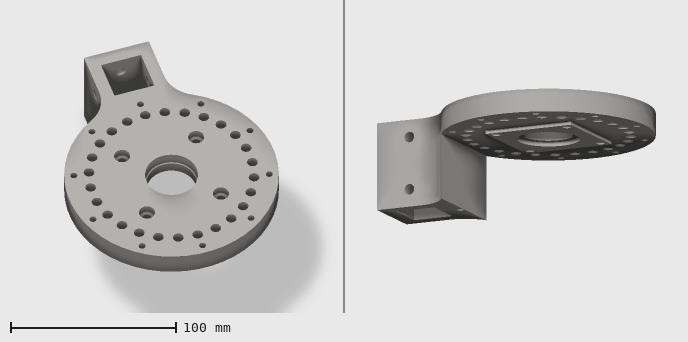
import cadquery as cq
import math

overall_length = 170
disc_diameter = 130.0
disc_thickness = 14.1
total_height = 54.0

socket_width = 41.5
socket_opening = 25.5
socket_wall = 8.8
flare_radius = 22.1
socket_hole_diameter = 6.5
socket_hole_pitch = 32.5

pad_side = 57.1
pad_height = 2.0
pilot_diameter = 38.2
pilot_depth = 2.5
shaft_hole_diameter = 30.0
shaft_bore_diameter = 32.0
shaft_bore_depth = 7.0
screw_spacing = 47.3
screw_diameter = 5.3
screw_head_diameter = 9.7
screw_head_depth = 5.0

inner_ring_count = 26
inner_ring_radius = 50.0
inner_ring_hole = 6.5
outer_ring_count = 10
outer_ring_radius = 59.2
outer_ring_hole = 4.2

disc_radius = disc_diameter / 2
socket_end = disc_radius - overall_length
opening_center = socket_end + socket_wall + socket_opening / 2
pad_bottom = -disc_thickness - pad_height


def cylinder_down(diameter, depth, points=((0, 0),)):
    """Vertical cylinders reaching down from the top face."""
    return cq.Workplane("XY").pushPoints(points).circle(diameter / 2).extrude(-depth)


def ring_points(count, radius):
    angles = [2 * math.pi * i / count for i in range(count)]
    return [(radius * math.cos(a), radius * math.sin(a)) for a in angles]


def make_bracket():
    """Socket block whose sides flare, tangent to both the block and the disc."""
    half_width = socket_width / 2
    flare_y = half_width + flare_radius
    center_distance = disc_radius + flare_radius
    flare_x = -math.sqrt(center_distance**2 - flare_y**2)
    touch_x = flare_x * disc_radius / center_distance
    touch_y = flare_y * disc_radius / center_distance
    half_sweep = math.atan2(touch_x - flare_x, flare_y - touch_y) / 2
    middle_x = flare_x + flare_radius * math.sin(half_sweep)
    middle_y = flare_y - flare_radius * math.cos(half_sweep)
    return (
        cq.Workplane("XY")
        .moveTo(socket_end, -half_width)
        .lineTo(flare_x, -half_width)
        .threePointArc((middle_x, -middle_y), (touch_x, -touch_y))
        .lineTo(touch_x, touch_y)
        .threePointArc((middle_x, middle_y), (flare_x, half_width))
        .lineTo(socket_end, half_width)
        .close()
        .extrude(-total_height)
    )


def make_socket_cuts():
    """Square through opening, cross holes along Y and holes in the end wall."""
    cuts = (
        cq.Workplane("XY")
        .center(opening_center, 0)
        .rect(socket_opening, socket_opening)
        .extrude(-total_height)
    )
    hole_radius = socket_hole_diameter / 2
    for side in (-1, 1):
        z = -total_height / 2 + side * socket_hole_pitch / 2
        cross_hole = (
            cq.Workplane("XZ")
            .center(opening_center, z)
            .circle(hole_radius)
            .extrude(socket_width / 2, both=True)
        )
        end_hole = (
            cq.Workplane("YZ", origin=(socket_end, 0, z))
            .circle(hole_radius)
            .extrude(opening_center - socket_end)
        )
        cuts = cuts.union(cross_hole).union(end_hole)
    return cuts


def cut_motor_mount(body):
    """Stepped shaft hole, pilot recess and four counterbored screw holes."""
    half_spacing = screw_spacing / 2
    screws = [(x, y) for x in (-half_spacing, half_spacing) for y in (-half_spacing, half_spacing)]
    pilot = (
        cq.Workplane("XY")
        .workplane(offset=pad_bottom)
        .circle(pilot_diameter / 2)
        .extrude(pilot_depth)
    )
    return (
        body.cut(pilot)
        .cut(cylinder_down(shaft_hole_diameter, -pad_bottom))
        .cut(cylinder_down(shaft_bore_diameter, shaft_bore_depth))
        .cut(cylinder_down(screw_diameter, -pad_bottom, screws))
        .cut(cylinder_down(screw_head_diameter, screw_head_depth, screws))
    )


def cut_hole_rings(body):
    inner = ring_points(inner_ring_count, inner_ring_radius)
    outer = ring_points(outer_ring_count, outer_ring_radius)
    return (
        body.cut(cylinder_down(inner_ring_hole, total_height, inner))
        .cut(cylinder_down(outer_ring_hole, total_height, outer))
    )


disc = cylinder_down(disc_diameter, disc_thickness)
pad = cq.Workplane("XY").rect(pad_side, pad_side).extrude(pad_bottom)
body = disc.union(pad).union(make_bracket()).cut(make_socket_cuts())
result = cut_hole_rings(cut_motor_mount(body))